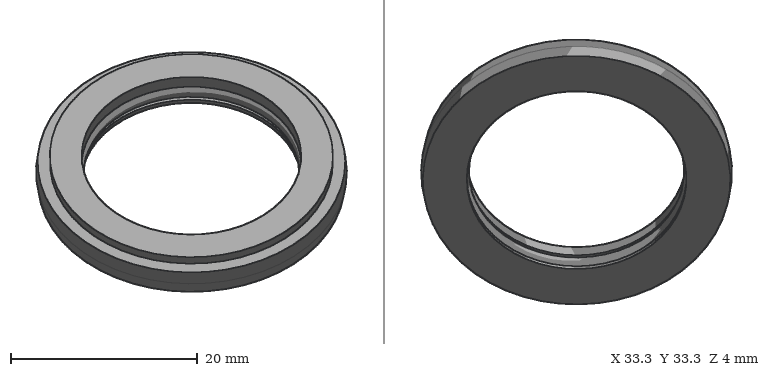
import cadquery as cq

height = 4.0
rim_height = 3.0
step_radius = 15.15
crest_radius = 16.65
rim_taper = 0.2
rim_edge_radius = crest_radius - rim_taper
mid_rim_z = rim_height / 2
bore_radius = 11.75

oring_section_radius = 0.75
oring_protrusion = 0.25
oring_center_radius = bore_radius - oring_protrusion + oring_section_radius

groove_width = 2.0
groove_bottom_z = mid_rim_z - groove_width / 2
groove_top_z = mid_rim_z + groove_width / 2
groove_radius = oring_center_radius + oring_section_radius


def make_housing():
    """Stepped ring with a rim tapering both ways from its crest and a square groove in its bore."""
    profile = (
        cq.Workplane("XZ")
        .moveTo(bore_radius, 0)
        .lineTo(rim_edge_radius, 0)
        .lineTo(crest_radius, mid_rim_z)
        .lineTo(rim_edge_radius, rim_height)
        .lineTo(step_radius, rim_height)
        .lineTo(step_radius, height)
        .lineTo(bore_radius, height)
        .lineTo(bore_radius, groove_top_z)
        .lineTo(groove_radius, groove_top_z)
        .lineTo(groove_radius, groove_bottom_z)
        .lineTo(bore_radius, groove_bottom_z)
        .close()
    )
    return profile.revolve(360, (0, 0, 0), (0, 1, 0))


def make_oring():
    """Round-section seal seated in the bore groove, centred on the rim's mid-height."""
    profile = (
        cq.Workplane("XZ")
        .moveTo(oring_center_radius, mid_rim_z)
        .circle(oring_section_radius)
    )
    return profile.revolve(360, (0, 0, 0), (0, 1, 0))


housing = make_housing()
oring = make_oring()

result = cq.Compound.makeCompound([housing.val(), oring.val()])